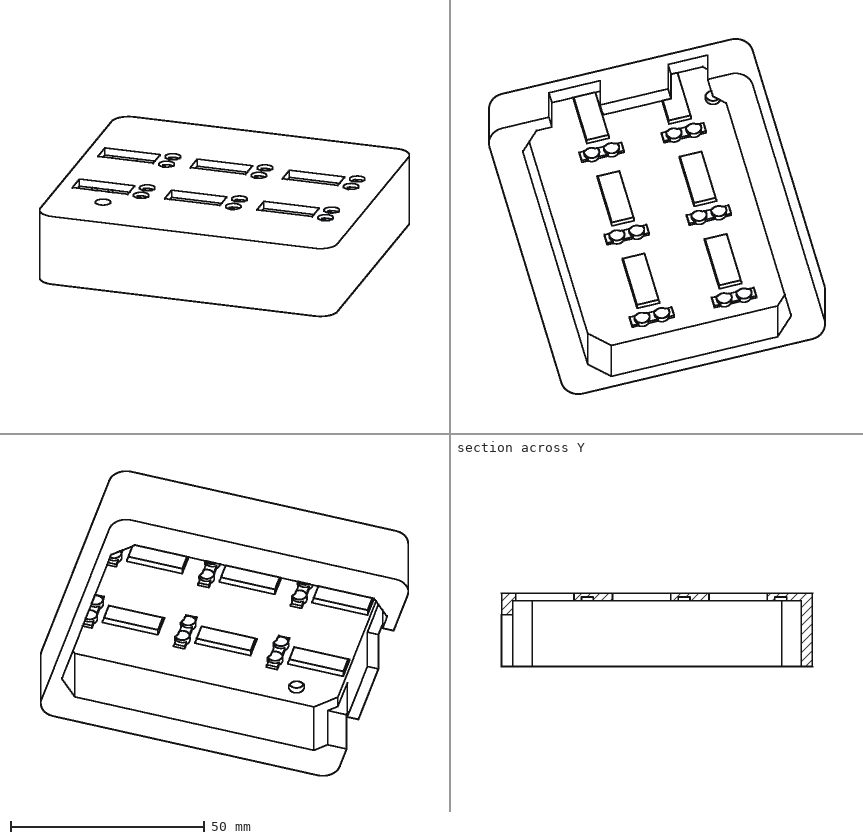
import cadquery as cq

LENGTH = 80.5
WIDTH = 70.5
HEIGHT = 19.0
CORNER_RADIUS = 4.6
END_WALL = 3.0
SIDE_WALL = 8.0
TOP_THICKNESS = 2.0
CORNER_BLOCK_LEG = 5.0

COLUMN_PITCH = 25.0
COLUMN_CENTRES = [-29.0 + COLUMN_PITCH * column for column in range(3)]
ROW_CENTRES = [10.0, -12.0]
WINDOW_LENGTH = 15.0
WINDOW_WIDTH = 6.0
LAMP_DIAMETER = 4.0
LAMP_OFFSET = 11.0
LAMP_PITCH = 5.3
LAMP_GROOVE_WIDTH = 3.0
LAMP_GROOVE_LENGTH = 11.3
LAMP_GROOVE_DEPTH = 1.0
SINGLE_HOLE_CENTRE = (-26.0, -22.0)

NOTCH_HEIGHT = 13.4
NOTCH_SPANS = [(-24.4, -13.8), (4.4, 18.1)]
NOTCH_DEPTH = END_WALL + CORNER_BLOCK_LEG


def make_shell():
    body = cq.Workplane("XY").box(LENGTH, WIDTH, HEIGHT, centered=(True, True, False))
    body = body.edges("|Z").fillet(CORNER_RADIUS)
    cavity = (
        cq.Workplane("XY")
        .rect(LENGTH - 2 * END_WALL, WIDTH - 2 * SIDE_WALL)
        .extrude(HEIGHT - TOP_THICKNESS)
        .edges("|Z")
        .chamfer(CORNER_BLOCK_LEG)
    )
    return body.cut(cavity)


def cut_windows(body):
    centres = [(x, y) for x in COLUMN_CENTRES for y in ROW_CENTRES]
    cutter = cq.Workplane("XY").pushPoints(centres).rect(WINDOW_LENGTH, WINDOW_WIDTH).extrude(HEIGHT)
    return body.cut(cutter)


def cut_round_holes(body):
    centres = [
        (x + LAMP_OFFSET, y + side * LAMP_PITCH / 2)
        for x in COLUMN_CENTRES
        for y in ROW_CENTRES
        for side in (-1, 1)
    ]
    centres.append(SINGLE_HOLE_CENTRE)
    cutter = (
        cq.Workplane("XY", origin=(0, 0, HEIGHT - TOP_THICKNESS))
        .pushPoints(centres)
        .circle(LAMP_DIAMETER / 2)
        .extrude(TOP_THICKNESS)
    )
    return body.cut(cutter)


def cut_lamp_grooves(body):
    centres = [(x + LAMP_OFFSET, y) for x in COLUMN_CENTRES for y in ROW_CENTRES]
    cutter = (
        cq.Workplane("XY", origin=(0, 0, HEIGHT - TOP_THICKNESS))
        .pushPoints(centres)
        .rect(LAMP_GROOVE_WIDTH, LAMP_GROOVE_LENGTH)
        .extrude(LAMP_GROOVE_DEPTH)
    )
    return body.cut(cutter)


def cut_notches(body):
    for low_y, high_y in NOTCH_SPANS:
        corner = cq.Workplane("XY", origin=(-LENGTH / 2, low_y, 0))
        notch = corner.box(NOTCH_DEPTH, high_y - low_y, NOTCH_HEIGHT, centered=False)
        body = body.cut(notch)
    return body


result = make_shell()
result = cut_windows(result)
result = cut_round_holes(result)
result = cut_lamp_grooves(result)
result = cut_notches(result)